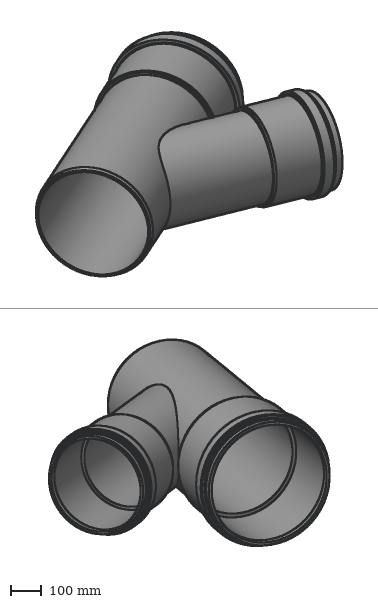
import cadquery as cq

TOTAL_LENGTH = 944.0
MAIN_PIPE_D = 400.0
MAIN_BORE_D = 376.0
SPIGOT_TIP_D = 390.0
SPIGOT_CHAMFER_LENGTH = 12.0
MAIN_SOCKET_D = 424.0
MAIN_SOCKET_BORE_D = 402.0
MAIN_SHOULDER_D = 418.0
MAIN_LIP_D = 423.0
MAIN_FLARE_D = 428.0
MAIN_COLLAR_D = 450.0
MAIN_SOCKET_DEPTH = 272.0
MAIN_COLLAR_END = 78.0

BRANCH_ANGLE = 45.0
BRANCH_START_Y = 223.0
BRANCH_LENGTH = 751.0
BRANCH_PIPE_D = 315.0
BRANCH_BORE_D = 295.0
BRANCH_SOCKET_D = 336.0
BRANCH_SOCKET_BORE_D = 317.0
BRANCH_SHOULDER_D = 330.0
BRANCH_LIP_D = 335.0
BRANCH_FLARE_D = 344.0
BRANCH_COLLAR_D = 362.0
BRANCH_SOCKET_DEPTH = 242.0
BRANCH_COLLAR_END = 73.0

SHOULDER_LENGTH = 8.5

LIP_LENGTH = 24.0
FLARE_END = 28.0
COLLAR_FRONT = 32.0
COLLAR_CHAMFER_LENGTH = 6.0
COLLAR_CHAMFER_HEIGHT = 3.0
NECK_LENGTH = 4.0


def revolve_profile(points):
    """Revolve an outline of (radius, axial position) points about the Y axis."""
    return cq.Workplane("XY").polyline(points).close().revolve(360, (0, 0), (0, 1))


def cylinder(diameter, start, end):
    """Solid cylinder on the Y axis between two axial positions."""
    return revolve_profile([(0, start), (diameter / 2, start), (diameter / 2, end), (0, end)])


def place_on_branch(body):
    """Move a body from the Y axis onto the branch axis."""
    return body.rotate((0, 0, 0), (0, 0, 1), -BRANCH_ANGLE).translate((0, BRANCH_START_Y, 0))


def socket_outside(length, depth, socket_d, shoulder_d):
    """Solid socket with its sloping shoulder; its mouth seats inside the cap."""
    end = length - LIP_LENGTH
    shoulder_top = length - depth
    shoulder_bottom = shoulder_top - SHOULDER_LENGTH
    return revolve_profile([
        (0, shoulder_bottom),
        (shoulder_d / 2, shoulder_bottom),
        (socket_d / 2, shoulder_top),
        (socket_d / 2, end),
        (0, end),
    ])


def retaining_cap(length, bore_d, socket_d, lip_d, flare_d, collar_d, collar_end):
    """Ring with a lip over the socket mouth, a collar and a short tapered neck behind it."""
    bore_r = bore_d / 2
    socket_r = socket_d / 2
    lip_r = lip_d / 2
    flare_r = flare_d / 2
    collar_r = collar_d / 2
    seat = length - LIP_LENGTH
    flare = length - FLARE_END
    front = length - COLLAR_FRONT
    back = length - collar_end
    return revolve_profile([
        (bore_r, length),
        (lip_r, length),
        (lip_r, seat),
        (flare_r, flare),
        (flare_r, front),
        (collar_r - COLLAR_CHAMFER_HEIGHT, front),
        (collar_r, front - COLLAR_CHAMFER_LENGTH),
        (collar_r, back),
        (flare_r, back),
        (socket_r, back - NECK_LENGTH),
        (socket_r, seat),
        (bore_r, seat),
    ])


def make_fitting():
    main_pipe = revolve_profile([
        (0, 0),
        (SPIGOT_TIP_D / 2, 0),
        (MAIN_PIPE_D / 2, SPIGOT_CHAMFER_LENGTH),
        (MAIN_PIPE_D / 2, TOTAL_LENGTH - MAIN_SOCKET_DEPTH),
        (0, TOTAL_LENGTH - MAIN_SOCKET_DEPTH),
    ])
    main_socket = socket_outside(
        TOTAL_LENGTH, MAIN_SOCKET_DEPTH, MAIN_SOCKET_D, MAIN_SHOULDER_D)
    branch_pipe = cylinder(BRANCH_PIPE_D, 0, BRANCH_LENGTH - BRANCH_SOCKET_DEPTH)
    branch_socket = socket_outside(
        BRANCH_LENGTH, BRANCH_SOCKET_DEPTH, BRANCH_SOCKET_D, BRANCH_SHOULDER_D)
    outside = main_pipe.union(main_socket).union(place_on_branch(branch_pipe.union(branch_socket)))

    main_bore = cylinder(MAIN_BORE_D, 0, TOTAL_LENGTH)
    main_socket_bore = cylinder(MAIN_SOCKET_BORE_D, TOTAL_LENGTH - MAIN_SOCKET_DEPTH, TOTAL_LENGTH)
    branch_bore = cylinder(BRANCH_BORE_D, 0, BRANCH_LENGTH)
    branch_socket_bore = cylinder(
        BRANCH_SOCKET_BORE_D, BRANCH_LENGTH - BRANCH_SOCKET_DEPTH, BRANCH_LENGTH)
    return (
        outside.cut(main_bore)
        .cut(main_socket_bore)
        .cut(place_on_branch(branch_bore))
        .cut(place_on_branch(branch_socket_bore))
    )


fitting = make_fitting()
main_cap = retaining_cap(
    TOTAL_LENGTH, MAIN_SOCKET_BORE_D, MAIN_SOCKET_D,
    MAIN_LIP_D, MAIN_FLARE_D, MAIN_COLLAR_D, MAIN_COLLAR_END)
branch_cap = place_on_branch(retaining_cap(
    BRANCH_LENGTH, BRANCH_SOCKET_BORE_D, BRANCH_SOCKET_D,
    BRANCH_LIP_D, BRANCH_FLARE_D, BRANCH_COLLAR_D, BRANCH_COLLAR_END))

result = cq.Compound.makeCompound([fitting.solids().val(), main_cap.val(), branch_cap.val()])